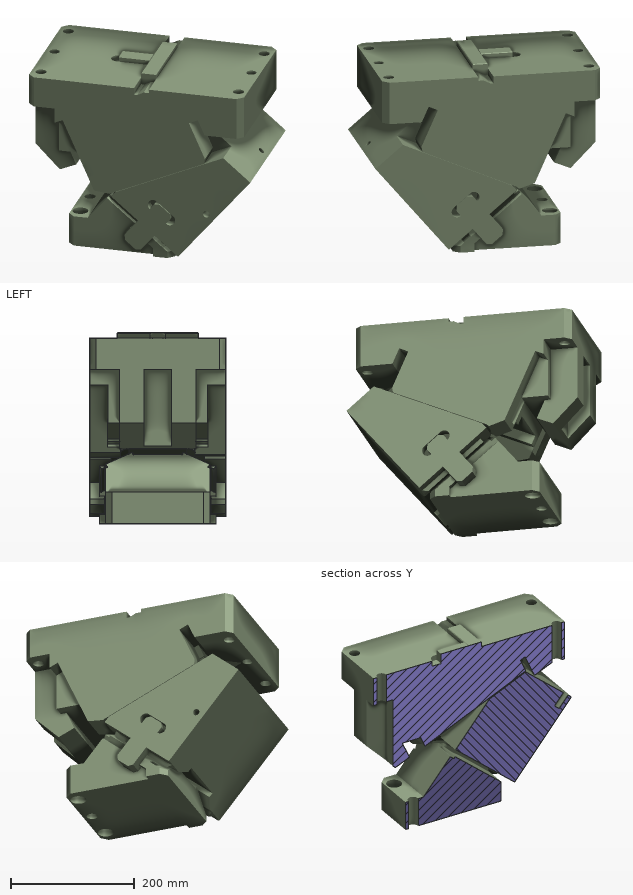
import cadquery as cq
import math

GUIDE_ANGLE = 40.0
RAMP_ANGLE = 24.0
ROOF_ANGLE = 30.0
FAR = 447.8
MARGIN = 3.7


def sin(angle):
    return math.sin(math.radians(angle))


def cos(angle):
    return math.cos(math.radians(angle))


ROOF_SLOPE = math.tan(math.radians(ROOF_ANGLE))
GUIDE_ALONG = (cos(GUIDE_ANGLE), 0, -sin(GUIDE_ANGLE))
RAMP_ALONG = (cos(RAMP_ANGLE), 0, sin(RAMP_ANGLE))

UPRIGHT = cq.Plane.named("XZ")
GUIDE = cq.Plane(origin=(0, 0, 0), xDir=GUIDE_ALONG, normal=(0, -1, 0))
RAMP = cq.Plane(origin=(0, 0, 0), xDir=RAMP_ALONG, normal=(0, -1, 0))
GUIDE_SECTION = cq.Plane(origin=(0, 0, 0), xDir=(0, 1, 0), normal=GUIDE_ALONG)
RAMP_SECTION = cq.Plane(origin=(0, 0, 0), xDir=(0, 1, 0), normal=RAMP_ALONG)


def slab(plane, points, half_width):
    """Prism of an outline, symmetric about Y = 0."""
    return cq.Workplane(plane).polyline(points).close().extrude(half_width, both=True)


def side_slab(plane, points, inner, outer, side):
    """Prism of an outline between two distances from Y = 0, on one side (-1 or 1)."""
    prism = cq.Workplane(plane).polyline(points).close().extrude(outer - inner)
    far_face = outer if side > 0 else -inner
    return prism.translate((0, far_face, 0))


def guide_bar(points, start, end):
    """Bar along the guide, from its (Y, height) section."""
    section = cq.Workplane(GUIDE_SECTION).workplane(offset=start).polyline(points).close()
    return section.extrude(end - start)


def rectangle(x0, y0, x1, y1):
    return [(x0, y0), (x1, y0), (x1, y1), (x0, y1)]


def mirrored(points):
    """Closed symmetric section from its +Y half."""
    return points + [(-y, height) for y, height in reversed(points)]


def ramp_point(along, height):
    """X and Z of a point given in the ramp's local axes."""
    return (
        along * cos(RAMP_ANGLE) - height * sin(RAMP_ANGLE),
        along * sin(RAMP_ANGLE) + height * cos(RAMP_ANGLE),
    )


def ramp_point_at_z(along, z):
    """Point at a given height Z on the line square to the ramp at a given place along it."""
    return ramp_point(along, (z - along * sin(RAMP_ANGLE)) / cos(RAMP_ANGLE))


def roof_height(y):
    """Guide height of the roof's sloping sides at a distance from Y = 0."""
    return ROOF_EDGE_HEIGHT + (BASE_HALF - y) * ROOF_SLOPE


def roof_half_width(height):
    """Distance from Y = 0 at which the roof's sloping sides have a guide height."""
    return BASE_HALF - (height - ROOF_EDGE_HEIGHT) / ROOF_SLOPE


LENGTH = 373.0
WIDTH = 220.0
HALF_WIDTH = WIDTH / 2
CORNER = 10.5

BASE_LEFT = 60.0
BASE_RIGHT = 240.5
BASE_HALF = 84.7
RAIL_HALF = 94.5
FOOT_START = 206.0
STEP_Z = 51.5
GUIDE_START = 38.8
ROOF_EDGE_HEIGHT = 162.0
ROOF_PEAK_HALF = 41.0
NOTCH_HALF = 39.0
NOTCH_HEIGHT = 182.5
ENTRY_LENGTH = 8.5
ENTRY_DROP = 3.7
RAIL_BOTTOM = 143.5
LEDGE_HEIGHT = 152.2
LOWER_RAIL_START = 108.2
UNDERCUT_Y = 81.0
OIL_GROOVE = (145.5, 160.5)
OIL_GROOVE_FLOOR = 156.5
BASE_HOLE_X = 75.0
BASE_BOLT_Y = 60.0
BASE_BOLT_D = 25.7
BASE_DOWEL_D = 18.0

SLIDER_START = 40.0
SLIDER_END = 186.0
SLIDER_BOTTOM = 170.5
SLIDER_TOP = (LENGTH - SLIDER_END * cos(GUIDE_ANGLE)) / sin(GUIDE_ANGLE)
LIP_TOE_Z = 12.0
CEILING_HALF = 46.3
CEILING_HEIGHT = 192.0
ENTRY_RELIEF_HALF = 75.8
ENTRY_RELIEF_RISE = 10.5
LIP_START = 58.0
LIP_TIP = (90.5, 164.2)
HOOK_START = 99.0
HOOK_END = 134.5
HOOK_BOTTOM = 128.7
HOOK_TOP = 218.3
HOOK_CHAMFER = 6.5
HOOK_INNER = 86.2
HOOK_LIP_TOP = 141.8
POCKET_TOP = 219.5
POCKET_RADIUS = 9.5
POCKET_DEPTH = HALF_WIDTH - RAIL_HALF
SHOULDER_HEIGHT = 43.5
RIDGE = (59.7, 77.0)
CREST = (44.8, 92.0)
SIDE_HOLE = (170.5, 262.7)
SIDE_HOLE_D = 11.2
SIDE_HOLE_DEPTH = 26.0
DRILL_TIP = 3.5
END_HOLE_ALONG = 171.5
END_HOLE_D = 10.5
END_HOLE_DEPTH = 26.0

HOLDER_RIGHT = 360.0
HOLDER_TOP = 300.5
KEY_TOP = 309.0
PLATE_LEFT_Z = 249.3
PLATE_RIGHT_Z = 230.2
BODY_LEFT = 44.8
BODY_LEDGE = 186.5
CHEEK_START = 147.5
CHEEK_END = 348.0
CHEEK_NOSES = {-1: (112.5, (170.0, 44.0)), 1: (115.3, (167.5, 43.0))}
SOLE_START = 173.5
CHEEK_BEVEL = (5.0, 7.0)
RAMP_GAP = 0.7
SLIT_END = 364.5
SLIT_TOP = 117.5
SLIT_PAD_END = 356.0
BLOCK_HALF = 80.5
BLOCK_Z = 163.0
PRONG_HALF = 61.5
PRONG_TIP = (41.0, 121.3)
PRONG_END = 116.5
PRONG_FOOT = 93.5
PRONG_SLOT_HALF = 22.0
PRONG_SLOT_DEPTH = 36.5
WINDOW_FLOORS = (70.5, 75.0)
WINDOW_OUTER = 81.5
WINDOW_STEP_DEPTH = 10.5
WINDOW_TOP = 119.5
KEEL_HEIGHT = 74.0
KEEL_HALF = 37.5
PLATE_BOLT_D = 18.0
PLATE_DOWEL_D = 16.5
LEFT_HOLES = (15.5, 85.0)
RIGHT_HOLES = (345.0, 80.0)
GROOVE_LEFT = 178.5
GROOVE_RIGHT = 203.5
GROOVE_DEEP_Z = 289.0
GROOVE_SHALLOW_Z = 294.5
GROOVE_RAMP = (183.5, 194.5)
BAR_HALF = 65.5
KEY_HALF = 12.7
KEY_LEFT = 127.0
KEYWAY_LEFT = 111.0
KEYWAY_DEPTH = 9.5
KEY_CHAMFER = 1.0


def undercut(side, floor, floor_slope, start, end):
    """Cut under the roof's edge, square to the roof side and down to a floor that may fall outward."""
    top = ROOF_EDGE_HEIGHT + MARGIN
    wall = [UNDERCUT_Y + (height - LEDGE_HEIGHT) * ROOF_SLOPE for height in (floor, top)]
    outer = RAIL_HALF + MARGIN
    outer_floor = floor - (outer - wall[0]) * floor_slope
    points = [(wall[0], floor), (outer, outer_floor), (outer, top), (wall[1], top)]
    return guide_bar([(side * y, height) for y, height in points], start, end)


def above_roof(drop, start, end):
    """Everything above the roof-shaped guide surface, lowered by a drop."""
    outer = RAIL_HALF + MARGIN
    half = [
        (outer, FAR),
        (outer, roof_height(outer) - drop),
        (ROOF_PEAK_HALF, roof_height(ROOF_PEAK_HALF) - drop),
        (NOTCH_HALF, NOTCH_HEIGHT - drop),
    ]
    return guide_bar(mirrored(half), start, end)


def make_base():
    step_end = (STEP_Z * sin(GUIDE_ANGLE) + GUIDE_START) / cos(GUIDE_ANGLE)
    slant_end_z = (BASE_RIGHT * cos(GUIDE_ANGLE) - GUIDE_START) / sin(GUIDE_ANGLE)
    outline = [
        (BASE_LEFT, 0),
        (BASE_RIGHT, 0),
        (BASE_RIGHT, slant_end_z),
        (step_end, STEP_Z),
        (BASE_LEFT, STEP_Z),
    ]
    envelope = slab(UPRIGHT, outline, RAIL_HALF)

    body = slab(UPRIGHT, outline, BASE_HALF)
    foot = slab(UPRIGHT, rectangle(FOOT_START, 0, BASE_RIGHT, FAR), RAIL_HALF)
    upper_rail = slab(GUIDE, rectangle(0, LEDGE_HEIGHT, FAR, FAR), RAIL_HALF)
    lower_rail = slab(GUIDE, rectangle(LOWER_RAIL_START, RAIL_BOTTOM, FAR, FAR), RAIL_HALF)
    body = body.union(foot).union(upper_rail).union(lower_rail).intersect(envelope)

    entry_end = GUIDE_START + ENTRY_LENGTH
    body = body.cut(above_roof(0, 0, FAR)).cut(above_roof(ENTRY_DROP, 0, entry_end))
    for side in (-1, 1):
        body = body.cut(undercut(side, LEDGE_HEIGHT, ROOF_SLOPE, 0, LOWER_RAIL_START))
        body = body.cut(undercut(side, OIL_GROOVE_FLOOR, 0, *OIL_GROOVE))

    corners = [(BASE_LEFT, BASE_HALF, 1), (BASE_RIGHT, RAIL_HALF, -1)]
    for x, half, inward in corners:
        for side in (-1, 1):
            points = [(x, side * half), (x + inward * CORNER, side * half), (x, side * (half - CORNER))]
            body = body.cut(cq.Workplane("XY").polyline(points).close().extrude(STEP_Z))

    bolts = [(BASE_HOLE_X, -BASE_BOLT_Y), (BASE_HOLE_X, BASE_BOLT_Y)]
    body = body.cut(cq.Workplane("XY").pushPoints(bolts).circle(BASE_BOLT_D / 2).extrude(STEP_Z))
    dowel = cq.Workplane("XY").center(BASE_HOLE_X, 0).circle(BASE_DOWEL_D / 2).extrude(STEP_Z)
    return body.cut(dowel)


def slider_blank():
    """Block between the guide underside and the stepped ramp on top."""
    half = [
        (HALF_WIDTH, SLIDER_TOP),
        (HALF_WIDTH, SLIDER_BOTTOM),
        (roof_half_width(SLIDER_BOTTOM), SLIDER_BOTTOM),
        (CEILING_HALF, roof_height(CEILING_HALF)),
        (CEILING_HALF, CEILING_HEIGHT),
    ]
    blank = guide_bar(mirrored(half), SLIDER_START, SLIDER_END)
    blank = blank.cut(slab(RAMP, rectangle(0, CREST[1], FAR, FAR), HALF_WIDTH))
    for side in (-1, 1):
        for inner, height in ((CREST[0], RIDGE[1]), (RIDGE[0], SHOULDER_HEIGHT)):
            blank = blank.cut(side_slab(RAMP, rectangle(0, height, FAR, FAR), inner, HALF_WIDTH, side))
    return blank


def entry_relief(side):
    """Stretch at the start of the slider where the underside is raised off the roof."""
    half = [
        (CEILING_HALF, SLIDER_BOTTOM - MARGIN),
        (CEILING_HALF, roof_height(CEILING_HALF) + ENTRY_RELIEF_RISE),
        (ENTRY_RELIEF_HALF, roof_height(ENTRY_RELIEF_HALF) + ENTRY_RELIEF_RISE),
        (ENTRY_RELIEF_HALF, SLIDER_BOTTOM - MARGIN),
    ]
    return guide_bar([(side * y, height) for y, height in half], SLIDER_START, LIP_START)


def slider_lip(side):
    """Bevelled lip below the underside, parallel to the roof of the base."""
    rise = SLIDER_BOTTOM - LIP_TIP[1]
    points = [
        (RAIL_HALF, SLIDER_BOTTOM),
        LIP_TIP,
        (LIP_TIP[0] - rise / ROOF_SLOPE, SLIDER_BOTTOM),
    ]
    return guide_bar([(side * y, height) for y, height in points], LIP_START, SLIDER_END)


def hook_plate(side, inner):
    plate = side_slab(GUIDE, rectangle(HOOK_START, HOOK_BOTTOM, HOOK_END, HOOK_TOP), inner, HALF_WIDTH, side)
    return plate.edges("|Y").chamfer(HOOK_CHAMFER)


def hook(side):
    """Plate hanging beside the base with a lip that reaches under the base's rail."""
    above_lip = rectangle(0, HOOK_LIP_TOP, FAR, FAR)
    return hook_plate(side, HOOK_INNER).cut(side_slab(GUIDE, above_lip, 0, RAIL_HALF, side))


def hook_pocket(side):
    """Round-ended pocket that shows as a crescent on each side of the hook plate."""
    length = HOOK_END - HOOK_START + 2 * POCKET_RADIUS
    middle = ((HOOK_START + HOOK_END) / 2, POCKET_TOP - POCKET_RADIUS)
    slot = cq.Workplane(GUIDE).center(*middle).slot2D(length, 2 * POCKET_RADIUS).extrude(POCKET_DEPTH)
    slot = slot.translate((0, HALF_WIDTH if side > 0 else POCKET_DEPTH - HALF_WIDTH, 0))
    return slot.cut(hook_plate(side, RAIL_HALF))


def side_hole():
    """Blind drilled hole with a pointed end, in the -Y side."""
    plane = cq.Workplane(GUIDE).workplane(offset=HALF_WIDTH - SIDE_HOLE_DEPTH - DRILL_TIP)
    profile = [
        (0, 0),
        (SIDE_HOLE_D / 2, DRILL_TIP),
        (SIDE_HOLE_D / 2, DRILL_TIP + SIDE_HOLE_DEPTH),
        (0, DRILL_TIP + SIDE_HOLE_DEPTH),
    ]
    axis = cq.Plane(origin=plane.plane.toWorldCoords(SIDE_HOLE), xDir=(1, 0, 0), normal=(0, 0, 1))
    outline = [(radius, -depth) for radius, depth in profile]
    return cq.Workplane(axis).polyline(outline).close().revolve(360, (0, 0), (0, 1))


def end_hole():
    """Blind hole in the middle of the upper end plane."""
    centre = GUIDE.toWorldCoords((END_HOLE_ALONG, SLIDER_TOP))
    inward = (-sin(GUIDE_ANGLE), 0, -cos(GUIDE_ANGLE))
    plane = cq.Plane(origin=centre, xDir=GUIDE_ALONG, normal=inward)
    return cq.Workplane(plane).circle(END_HOLE_D / 2).extrude(END_HOLE_DEPTH)


def make_slider():
    body = slider_blank()
    for side in (-1, 1):
        body = body.cut(entry_relief(side))
        body = body.union(slider_lip(side)).union(hook(side)).cut(hook_pocket(side))
    below_toe = slab(UPRIGHT, rectangle(0, 0, LENGTH, LIP_TOE_Z), HALF_WIDTH)
    return body.cut(below_toe).cut(side_hole()).cut(end_hole())


def holder_half(side):
    """Plate and cheek on one side; only the cheek noses differ."""
    nose_z, nose_corner = CHEEK_NOSES[side]
    sole = SHOULDER_HEIGHT + RAMP_GAP
    ledge_z = (BODY_LEDGE + BODY_LEFT * sin(RAMP_ANGLE)) / cos(RAMP_ANGLE)
    outline = [
        (0, HOLDER_TOP),
        (0, PLATE_LEFT_Z),
        (BODY_LEFT, PLATE_LEFT_Z),
        (BODY_LEFT, ledge_z),
        ramp_point(CHEEK_START, BODY_LEDGE),
        ramp_point_at_z(CHEEK_START, nose_z),
        ramp_point(*nose_corner),
        ramp_point(SOLE_START, sole),
        ramp_point(CHEEK_END - CHEEK_BEVEL[0], sole),
        ramp_point(CHEEK_END, sole + CHEEK_BEVEL[1]),
        ramp_point(CHEEK_END, SLIT_TOP),
        ramp_point(SLIT_END, SLIT_TOP),
        ramp_point_at_z(SLIT_END, PLATE_RIGHT_Z),
        (HOLDER_RIGHT, PLATE_RIGHT_Z),
        (HOLDER_RIGHT, HOLDER_TOP),
    ]
    return side_slab(UPRIGHT, outline, 0, HALF_WIDTH, side)


def holder_blank():
    """Full-width plate and cheeks, with the plate's corners cut off."""
    blank = holder_half(-1).union(holder_half(1))
    for x, inward in ((0, 1), (HOLDER_RIGHT, -1)):
        for side in (-1, 1):
            y = side * HALF_WIDTH
            points = [(x, y), (x + inward * CORNER, y), (x, y - side * CORNER)]
            blank = blank.cut(cq.Workplane("XY").polyline(points).close().extrude(FAR))
    return blank


def ramp_channel():
    """Stepped channel between the cheeks that clears the slider's ridge and crest."""
    channel = slab(RAMP, rectangle(0, 0, CHEEK_END, RIDGE[1] + RAMP_GAP), RIDGE[0] + RAMP_GAP)
    deep = slab(RAMP, rectangle(0, 0, CHEEK_END, CREST[1] + RAMP_GAP), CREST[0] + RAMP_GAP)
    return channel.union(deep)


def block_and_prong():
    """Block under the plate and the slotted prong that hooks back toward the cheeks."""
    block = [
        (BODY_LEFT, PLATE_LEFT_Z),
        (BODY_LEFT, BLOCK_Z),
        ramp_point_at_z(CHEEK_START, BLOCK_Z),
        ramp_point_at_z(CHEEK_START, PLATE_LEFT_Z),
    ]
    prong_back = ramp_point_at_z(PRONG_END, BLOCK_Z)
    prong = [
        (0, PLATE_LEFT_Z),
        (0, BLOCK_Z),
        PRONG_TIP,
        ramp_point(PRONG_END, PRONG_FOOT),
        prong_back,
        (prong_back[0], PLATE_LEFT_Z),
    ]
    slot = slab(UPRIGHT, rectangle(0, 0, PRONG_SLOT_DEPTH, PLATE_LEFT_Z), PRONG_SLOT_HALF)
    return slab(UPRIGHT, block, BLOCK_HALF).union(slab(UPRIGHT, prong, PRONG_HALF)).cut(slot)


def cheek_window(side):
    """Two-step pocket in the left face of a cheek."""
    window = cq.Workplane(RAMP)
    for step, floor in enumerate(WINDOW_FLOORS, start=1):
        points = rectangle(CHEEK_START, floor, CHEEK_START + step * WINDOW_STEP_DEPTH, WINDOW_TOP)
        window = window.add(side_slab(RAMP, points, PRONG_HALF, WINDOW_OUTER, side))
    return window.combine()


def slit_pad():
    """Middle part of the slit's left wall, which stands further into the slit."""
    points = rectangle(CHEEK_END, CREST[1] + RAMP_GAP, SLIT_PAD_END, SLIT_TOP)
    return slab(RAMP, points, CREST[0])


def keel():
    """V-shaped keel under the plate behind the slit, its bottom edge parallel to the ramp."""
    points = [
        (0, KEEL_HEIGHT),
        (KEEL_HALF, KEEL_HEIGHT + KEEL_HALF * ROOF_SLOPE),
        (-KEEL_HALF, KEEL_HEIGHT + KEEL_HALF * ROOF_SLOPE),
    ]
    section = cq.Workplane(RAMP_SECTION).workplane(offset=SLIT_END).polyline(points).close()
    below_plate = slab(UPRIGHT, rectangle(0, 0, HOLDER_RIGHT, PLATE_RIGHT_Z), HALF_WIDTH)
    return section.extrude(FAR - SLIT_END).intersect(below_plate)


def plate_hole(x, y, diameter):
    return cq.Workplane("XY").center(x, y).circle(diameter / 2).extrude(FAR)


def plate_holes():
    """Two bolt holes and a middle dowel hole at each end of the plate."""
    holes = []
    for x, bolt_y in (LEFT_HOLES, RIGHT_HOLES):
        holes.append(plate_hole(x, 0, PLATE_DOWEL_D))
        for side in (-1, 1):
            holes.append(plate_hole(x, side * bolt_y, PLATE_BOLT_D))
    return holes


def key_groove():
    """Groove across the whole top face, with a floor in two levels joined by a ramp."""
    points = [
        (GROOVE_LEFT, KEY_TOP),
        (GROOVE_LEFT, GROOVE_DEEP_Z),
        (GROOVE_RAMP[0], GROOVE_DEEP_Z),
        (GROOVE_RAMP[1], GROOVE_SHALLOW_Z),
        (GROOVE_RIGHT, GROOVE_SHALLOW_Z),
        (GROOVE_RIGHT, KEY_TOP),
    ]
    return slab(UPRIGHT, points, HALF_WIDTH)


def keyway():
    """Slot with a rounded left end, running into the groove."""
    length = GROOVE_RIGHT - KEYWAY_LEFT
    floor = cq.Workplane("XY").workplane(offset=HOLDER_TOP - KEYWAY_DEPTH)
    slot = floor.center(KEYWAY_LEFT + length / 2, 0).slot2D(length, 2 * KEY_HALF).extrude(FAR)
    return slot.intersect(slab(UPRIGHT, rectangle(0, 0, GROOVE_LEFT, FAR), HALF_WIDTH))


def cross_key():
    """Bar that fills the middle of the groove and stands above the top face."""
    bar = slab(UPRIGHT, rectangle(GROOVE_LEFT, HOLDER_TOP, GROOVE_RIGHT, KEY_TOP), BAR_HALF)
    root = key_groove().intersect(slab(UPRIGHT, rectangle(0, 0, FAR, HOLDER_TOP), BAR_HALF))
    return bar.faces(">Z").edges().chamfer(KEY_CHAMFER).union(root)


def long_key():
    """Key in the keyway, at right angles to the cross key."""
    bottom = HOLDER_TOP - KEYWAY_DEPTH
    key = slab(UPRIGHT, rectangle(KEY_LEFT, bottom, GROOVE_LEFT, KEY_TOP), KEY_HALF)
    return key.faces(">Z").edges("|X").chamfer(KEY_CHAMFER)


def make_holder():
    body = holder_blank().cut(ramp_channel()).union(block_and_prong()).union(slit_pad()).union(keel())
    for side in (-1, 1):
        body = body.cut(cheek_window(side))
    for hole in plate_holes():
        body = body.cut(hole)
    return body.cut(key_groove()).cut(keyway()).union(cross_key()).union(long_key())


base = make_base()
slider = make_slider()
holder = make_holder()
result = cq.Compound.makeCompound([holder.val(), slider.val(), base.val()])